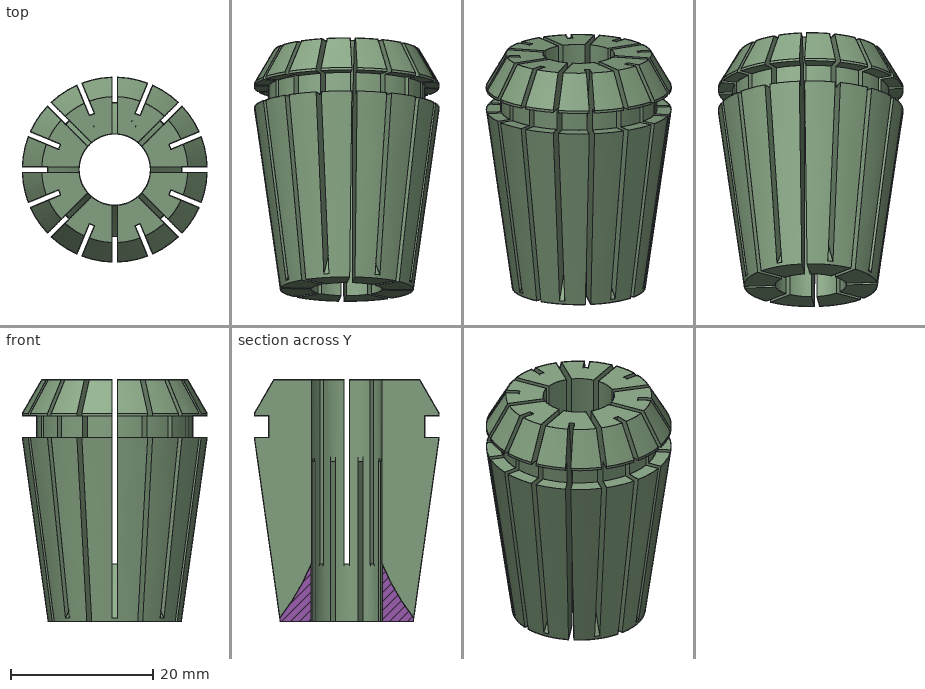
import cadquery as cq
import math

length = 34.0
max_radius = 13.0
bore_radius = 5.0

nose_angle = 30.0
nose_cone_height = 4.75
nose_land_height = 0.35
groove_height = 3.0
groove_radius = 11.0

taper_angle = 8.0

slots_per_end = 8
slot_width = 0.75
top_slot_setback = 8.1
bottom_slot_setback = 11.5
ramp_sag = 0.3
top_slot_end_height = 0.5
bottom_slot_end_radius = 8.4

cut_margin = 1.0

groove_top = length - nose_cone_height - nose_land_height
groove_bottom = groove_top - groove_height
nose_tip_radius = max_radius - nose_cone_height * math.tan(math.radians(nose_angle))
taper_slope = math.tan(math.radians(taper_angle))
bottom_radius = max_radius - groove_bottom * taper_slope
slot_pitch = 360 / slots_per_end


def make_body():
    """Revolve the half section between the bore and the outside."""
    return (
        cq.Workplane("XZ")
        .moveTo(bore_radius, 0)
        .lineTo(bottom_radius, 0)
        .lineTo(max_radius, groove_bottom)
        .lineTo(groove_radius, groove_bottom)
        .lineTo(groove_radius, groove_top)
        .lineTo(max_radius, groove_top)
        .lineTo(max_radius, length - nose_cone_height)
        .lineTo(nose_tip_radius, length)
        .lineTo(bore_radius, length)
        .close()
        .revolve(360, (0, 0, 0), (0, 1, 0))
    )


def make_slot(bore_setback, end_radius, end_height):
    """Cutter along +X, open at the top, ramping from the bore out to the given end point."""
    run = end_radius - bore_radius
    rise = end_height - bore_setback
    chord = math.hypot(run, rise)
    ramp_middle = (
        bore_radius + run / 2 + ramp_sag * rise / chord,
        bore_setback + rise / 2 - ramp_sag * run / chord,
    )
    inner_radius = bore_radius - cut_margin
    outer_radius = max_radius + cut_margin
    open_height = length + cut_margin
    return (
        cq.Workplane("XZ")
        .moveTo(inner_radius, bore_setback)
        .lineTo(bore_radius, bore_setback)
        .threePointArc(ramp_middle, (end_radius, end_height))
        .lineTo(outer_radius, end_height)
        .lineTo(outer_radius, open_height)
        .lineTo(inner_radius, open_height)
        .close()
        .extrude(slot_width / 2, both=True)
    )


def make_top_slot():
    """Slot open at the top, its ramp running out through the taper near the bottom."""
    end_radius = bottom_radius + top_slot_end_height * taper_slope
    return make_slot(top_slot_setback, end_radius, top_slot_end_height)


def make_bottom_slot():
    """Slot open at the bottom, its ramp running out through the top face."""
    upright = make_slot(bottom_slot_setback, bottom_slot_end_radius, 0)
    return upright.mirror("XY").translate((0, 0, length))


def cut_around(body, cutter, first_angle):
    """Cut one set of evenly spaced slots around the Z axis."""
    for i in range(slots_per_end):
        angle = first_angle + i * slot_pitch
        body = body.cut(cutter.rotate((0, 0, 0), (0, 0, 1), angle))
    return body


result = make_body()
result = cut_around(result, make_top_slot(), 0)
result = cut_around(result, make_bottom_slot(), slot_pitch / 2)